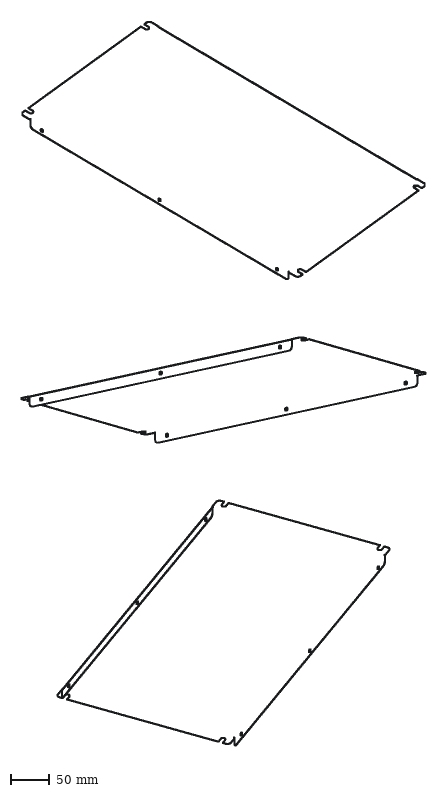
import cadquery as cq

PANEL_LENGTH = 486.5
PANEL_WIDTH = 249.6
PANEL_HEIGHT = 15.0
SHEET_THICKNESS = 0.8
CORNER_RADIUS = 5.0

SLOT_WIDTH = 6.3
SLOT_DEPTH = 10.5
SLOT_EDGE_OFFSET = 12.4

FLANGE_END_INSET = 17.0
FLANGE_LENGTH = PANEL_LENGTH - 2 * FLANGE_END_INSET
FLANGE_CORNER_RADIUS = 5.0
INNER_BEND_RADIUS = 0.5
OUTER_BEND_RADIUS = INNER_BEND_RADIUS + SHEET_THICKNESS

FLANGE_HOLE_DIAMETER = 4.2
FLANGE_HOLE_DROP = 7.5
FLANGE_HOLE_SPACING = 206.0
FLANGE_HOLE_POSITIONS = (-FLANGE_HOLE_SPACING, 0, FLANGE_HOLE_SPACING)


def make_flat_plate():
    """Flat sheet with rounded corners."""
    return (
        cq.Workplane("XY")
        .workplane(offset=-SHEET_THICKNESS)
        .rect(PANEL_LENGTH, PANEL_WIDTH)
        .extrude(SHEET_THICKNESS)
        .edges("|Z")
        .fillet(CORNER_RADIUS)
    )


def make_folded_channel():
    """Middle stretch of the sheet with both long edges folded down."""
    outside = (
        cq.Workplane("XY")
        .workplane(offset=-PANEL_HEIGHT)
        .rect(FLANGE_LENGTH, PANEL_WIDTH)
        .extrude(PANEL_HEIGHT)
        .edges("|X and >Z")
        .fillet(OUTER_BEND_RADIUS)
    )
    inside = (
        cq.Workplane("XY")
        .workplane(offset=-PANEL_HEIGHT)
        .rect(FLANGE_LENGTH, PANEL_WIDTH - 2 * SHEET_THICKNESS)
        .extrude(PANEL_HEIGHT - SHEET_THICKNESS)
        .edges("|X and >Z")
        .fillet(INNER_BEND_RADIUS)
    )
    return outside.cut(inside).edges("|Y and <Z").fillet(FLANGE_CORNER_RADIUS)


def make_mounting_slots():
    """Cutters for the four round-ended slots, centred on the short edges."""
    slot_y = PANEL_WIDTH / 2 - SLOT_EDGE_OFFSET
    return (
        cq.Workplane("XY")
        .rect(PANEL_LENGTH, 2 * slot_y, forConstruction=True)
        .vertices()
        .slot2D(2 * SLOT_DEPTH, SLOT_WIDTH)
        .extrude(-SHEET_THICKNESS)
    )


def make_flange_holes():
    """Cutters running through both flanges."""
    return (
        cq.Workplane("XZ")
        .workplane(offset=-PANEL_WIDTH / 2)
        .pushPoints([(x, -FLANGE_HOLE_DROP) for x in FLANGE_HOLE_POSITIONS])
        .circle(FLANGE_HOLE_DIAMETER / 2)
        .extrude(PANEL_WIDTH)
    )


def cut_plate_for_bends(plate):
    """Remove the square plate edge wherever the rounded bend takes its place."""
    bend_strip = (
        cq.Workplane("XY")
        .pushPoints([(0, PANEL_WIDTH / 2), (0, -PANEL_WIDTH / 2)])
        .rect(FLANGE_LENGTH, 2 * OUTER_BEND_RADIUS)
        .extrude(-SHEET_THICKNESS)
    )
    return plate.cut(bend_strip)


plate = cut_plate_for_bends(make_flat_plate())
panel = plate.union(make_folded_channel())
result = panel.cut(make_mounting_slots()).cut(make_flange_holes())